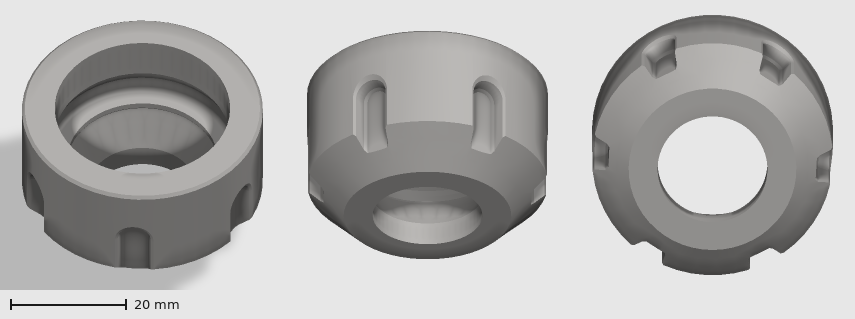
import cadquery as cq
import math

outer_radius = 20.85
height = 25.0
base_chamfer_width = 6.35
base_chamfer_height = 6.42
top_chamfer = 0.5

mouth_radius = 15.18
mouth_depth = 7.85
relief_radius = 16.242
relief_taper_height = 2.3
shelf_z = 11.8
shelf_fillet = 0.8
seat_radius = 13.0
seat_land_height = 1.1
seat_undercut_depth = 0.13
seat_undercut_height = 0.25
through_radius = 9.5
seat_half_angle = 30.0

slot_count = 6
slot_center_z = 13.6
floor_distance = 17.97
floor_half_width = 1.9
corner_chamfer = 0.45
wall_half_width = 2.9
wall_distance = 20.3
lip_half_width = 4.45
lip_distance = 21.25


def make_body():
    profile = [
        (0, 0),
        (outer_radius - base_chamfer_width, 0),
        (outer_radius, base_chamfer_height),
        (outer_radius, height - top_chamfer),
        (outer_radius - top_chamfer, height),
        (0, height),
    ]
    return cq.Workplane("XZ").polyline(profile).close().revolve(360, (0, 0), (0, 1))


def make_bore():
    relief_top_z = height - mouth_depth
    land_bottom_z = shelf_z - seat_land_height
    cone_top_z = land_bottom_z - seat_undercut_height
    cone_top_radius = seat_radius + seat_undercut_depth
    cone_height = (cone_top_radius - through_radius) / math.tan(math.radians(seat_half_angle))
    fillet_offset = shelf_fillet * (1 - math.sqrt(0.5))
    return (
        cq.Workplane("XZ")
        .lineTo(through_radius, 0)
        .lineTo(through_radius, cone_top_z - cone_height)
        .lineTo(cone_top_radius, cone_top_z)
        .lineTo(seat_radius, land_bottom_z)
        .lineTo(seat_radius, shelf_z)
        .lineTo(relief_radius - shelf_fillet, shelf_z)
        .threePointArc(
            (relief_radius - fillet_offset, shelf_z + fillet_offset),
            (relief_radius, shelf_z + shelf_fillet),
        )
        .lineTo(relief_radius, relief_top_z - relief_taper_height)
        .lineTo(mouth_radius, relief_top_z)
        .lineTo(mouth_radius, height)
        .lineTo(0, height)
        .close()
        .revolve(360, (0, 0), (0, 1))
    )


def make_slot():
    """Cutter on the -Y side: a round upper end and a straight run down through the base cone."""
    side = [
        (floor_half_width, -floor_distance),
        (floor_half_width + corner_chamfer, -floor_distance - corner_chamfer),
        (wall_half_width, -wall_distance),
        (lip_half_width, -lip_distance),
    ]
    mirrored_side = [(-x, y) for x, y in reversed(side)]
    section = cq.Workplane("XY").workplane(offset=slot_center_z)
    round_end = (
        section.polyline([(0, -floor_distance)] + side + [(0, -lip_distance)])
        .close()
        .revolve(360, (0, 0), (0, 1))
    )
    straight_run = section.polyline(side + mirrored_side).close().extrude(-slot_center_z)
    return round_end.union(straight_run)


result = make_body().cut(make_bore())
slot = make_slot()
for index in range(slot_count):
    result = result.cut(slot.rotate((0, 0, 0), (0, 0, 1), index * 360 / slot_count))